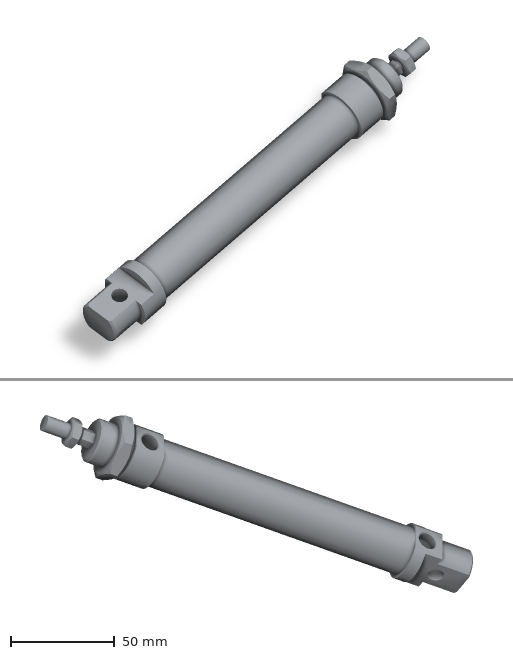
import cadquery as cq
import math


pin_hole_y = 15.0
rear_cap_start = 18.0
rear_shoulder = 27.0
rear_port_y = 26.0
tube_start = 33.0
head_start = 171.0
head_port_y = 178.2
head_end = 186.0
mount_nut_start = 188.1
collar_end = 204.0
rod_hex_end = 210.5
lock_nut_start = 211.8
rod_tip = 230.0

tube_diameter = 24.2
cap_diameter = 28.0
collar_diameter = 22.0
edge_chamfer = 1.0
tongue_thickness = 16.0
pin_hole_diameter = 8.0
port_flat_x = -12.5
port_diameter = 9.2
port_mouth_diameter = 10.4
head_port_depth = -port_flat_x
rear_port_depth = 5.8

rod_flats = 7.8
neck_diameter = 6.5
thread_diameter = 8.0
rod_start = head_start

mount_nut_flats = 30.0
mount_nut_thickness = 7.0
mount_nut_face_diameter = 29.0
lock_nut_flats = 13.0
lock_nut_thickness = 5.5
lock_nut_face_diameter = 11.5
nut_chamfer_angle = math.radians(30)


def section_plane(y):
    """Plane across the axis at y; a positive extrusion runs towards +Y, local x is -X."""
    return cq.Workplane(cq.Plane(origin=(0, y, 0), xDir=(-1, 0, 0), normal=(0, 1, 0)))


def cylinder(start, end, diameter):
    return section_plane(start).circle(diameter / 2).extrude(end - start)


def hex_corner_radius(flats):
    return flats / 2 / math.cos(math.pi / 6)


def hex_prism(start, end, flats):
    """Hexagonal prism with two opposite corners on the X axis."""
    return section_plane(start).polygon(6, 2 * hex_corner_radius(flats)).extrude(end - start)


def hex_nut(start, thickness, flats, face_diameter, bore):
    """Nut whose corners are cut back by a cone on both faces."""
    end = start + thickness
    corner_radius = hex_corner_radius(flats)
    face_radius = face_diameter / 2
    cone_depth = (corner_radius - face_radius) * math.tan(nut_chamfer_angle)
    corner_envelope = (
        cq.Workplane("XY")
        .polyline([
            (0, start),
            (face_radius, start),
            (corner_radius, start + cone_depth),
            (corner_radius, end - cone_depth),
            (face_radius, end),
            (0, end),
        ])
        .close()
        .revolve(360, (0, 0, 0), (0, 1, 0))
    )
    return hex_prism(start, end, flats).intersect(corner_envelope).cut(cylinder(start, end, bore))


def port(y, depth):
    """Countersunk port going into the flat on the -X side."""
    mouth = cq.Workplane("YZ", origin=(port_flat_x, y, 0))
    bore = mouth.circle(port_diameter / 2).extrude(depth)
    countersink_depth = (port_mouth_diameter - port_diameter) / 2
    countersink = (
        mouth.circle(port_mouth_diameter / 2)
        .workplane(offset=countersink_depth)
        .circle(port_diameter / 2)
        .loft()
    )
    return bore.union(countersink)


def make_housing():
    stub = cylinder(0, rear_cap_start, collar_diameter).faces("<Y").chamfer(edge_chamfer)
    rear_end = stub.union(cylinder(rear_cap_start, rear_shoulder, cap_diameter))
    tongue_slab = cq.Workplane("XY").box(cap_diameter, 2 * rear_shoulder, tongue_thickness)
    rear_end = rear_end.intersect(tongue_slab)

    rear_cap = cylinder(rear_shoulder, tube_start, cap_diameter)
    tube = cylinder(tube_start, head_start, tube_diameter)
    head = cylinder(head_start, head_end, cap_diameter)
    collar = cylinder(head_end, collar_end, collar_diameter).faces(">Y").chamfer(edge_chamfer)
    housing = rear_end.union(rear_cap).union(tube).union(head).union(collar)

    flat_cut = cq.Workplane("XY").box(
        cap_diameter, rod_tip, cap_diameter, centered=(True, False, True)
    ).translate((port_flat_x - cap_diameter / 2, 0, 0))
    housing = housing.cut(flat_cut)

    pin_hole = (
        cq.Workplane("XY", origin=(0, pin_hole_y, 0))
        .circle(pin_hole_diameter / 2)
        .extrude(tongue_thickness, both=True)
    )
    rod_bore = hex_prism(rod_start, collar_end, rod_flats)
    return (
        housing.cut(pin_hole)
        .cut(port(head_port_y, head_port_depth))
        .cut(port(rear_port_y, rear_port_depth))
        .cut(rod_bore)
    )


def make_rod():
    hex_shank = hex_prism(rod_start, rod_hex_end, rod_flats)
    neck = cylinder(rod_hex_end, lock_nut_start, neck_diameter)
    thread = cylinder(lock_nut_start, rod_tip, thread_diameter)
    return hex_shank.union(neck).union(thread)


def make_mount_nut():
    """Large nut on the collar, turned so that its corners point along Z."""
    half_corner_step = 30
    nut = hex_nut(
        mount_nut_start, mount_nut_thickness, mount_nut_flats, mount_nut_face_diameter, collar_diameter
    )
    return nut.rotate((0, 0, 0), (0, 1, 0), half_corner_step)


def make_lock_nut():
    """Small nut on the rod thread."""
    return hex_nut(
        lock_nut_start, lock_nut_thickness, lock_nut_flats, lock_nut_face_diameter, thread_diameter
    )


housing = make_housing()
rod = make_rod()
mount_nut = make_mount_nut()
lock_nut = make_lock_nut()

result = cq.Compound.makeCompound([housing.val(), rod.val(), mount_nut.val(), lock_nut.val()])